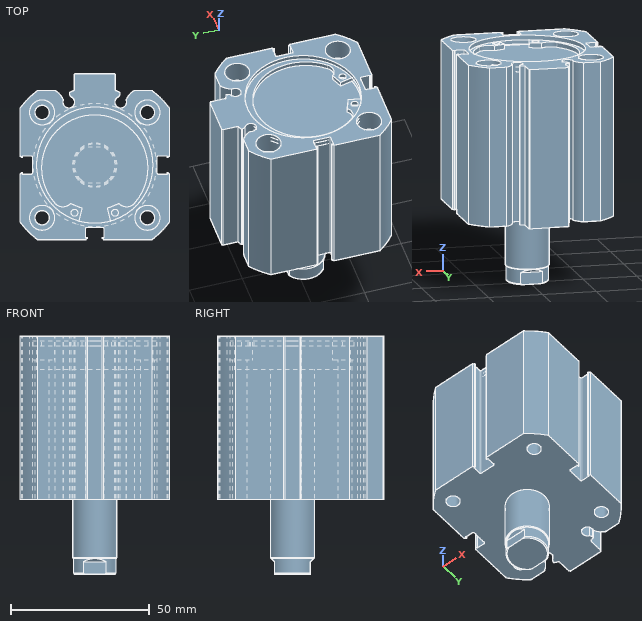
import cadquery as cq
import math


width = 54.0
half_width = width / 2
rod_extension = 27.0
housing_length = 86 - rod_extension
corner_radius = 34.0
boss_width = 15.0
boss_top = 33.0
boss_chamfer = 0.35

hole_offset = 19.0
hole_diameter = 5.1
counterbore_diameter = 9.0
counterbore_depth = 8.6

slot_width = 6.5
slot_depth = 4.5
slot_corner_radius = 0.35
mouth_width = 5.3
lip_thickness = 0.9
lip_radius = 0.5

groove_x = 9.4
groove_y = 22.7
groove_radius = 2.1
wing_tip = (9.2, 26.2)
wing_underside = (9.2, 25.7)
wing_mid = (8.7, 24.7)
wing_root = (7.8, 23.9)
flank_bottom = (11.2, 23.3)
flank_mid = (12.5, 25.45)
flank_top_x = 14.3

bore_radius = 21.0
ring_recess = 1.7
ring_thickness = 1.8
ring_radius = 22.3
cover_thickness = 8.6

ring_inner_radius = 19.2
ring_inner_y = -1.0
opening_end_x = 14.45
lug_neck = (11.95, -15.05)
lug_tip = (8.8, -13.85)
lug_corner = (4.6, -15.6)
lug_end = (6.3, -22.6)
lug_hole_x = 7.3
lug_hole_y = -17.2
lug_hole_diameter = 2.5

rod_diameter = 16.0
tip_diameter = 15.4
tip_length = 6.0
tip_chamfer = 0.4
flats_width = 13.0

rod_radius = rod_diameter / 2
tip_radius = tip_diameter / 2
ring_top = housing_length - ring_recess
cover_top = ring_top - ring_thickness
cover_bottom = cover_top - cover_thickness


def disk(radius, bottom, top):
    """Cylinder on the bore axis."""
    return cq.Workplane("XY").workplane(offset=bottom).circle(radius).extrude(top - bottom)


def mirror_x(point):
    return (-point[0], point[1])


def make_block():
    """Square block with rounded-off corners and the boss on its +Y side."""
    block = cq.Workplane("XY").rect(width, width).extrude(housing_length)
    block = block.intersect(disk(corner_radius, 0, housing_length))
    boss = (
        cq.Workplane("XY")
        .center(0, boss_top / 2)
        .rect(boss_width, boss_top)
        .extrude(housing_length)
        .edges("|Z and >Y")
        .chamfer(boss_chamfer)
    )
    return block.union(boss)


def make_slot():
    """Space of the T-slot on the -Y side, with rounded lips at its mouth."""
    channel_depth = slot_depth - lip_thickness
    channel = (
        cq.Workplane("XY")
        .center(0, -half_width + lip_thickness + channel_depth / 2)
        .rect(slot_width, channel_depth)
        .extrude(housing_length)
        .edges("|Z and >Y")
        .fillet(slot_corner_radius)
    )
    half_mouth = mouth_width / 2
    flared_half = half_mouth + lip_radius
    lip_round_end = -half_width + lip_radius
    mouth_top = -half_width + lip_thickness
    mouth = (
        cq.Workplane("XY")
        .moveTo(-flared_half, -half_width)
        .radiusArc((-half_mouth, lip_round_end), lip_radius)
        .lineTo(-half_mouth, mouth_top)
        .lineTo(half_mouth, mouth_top)
        .lineTo(half_mouth, lip_round_end)
        .radiusArc((flared_half, -half_width), lip_radius)
        .close()
        .extrude(housing_length)
    )
    return channel.union(mouth)


def make_sensor_groove():
    """Space of the sensor groove on the +X side of the boss."""
    entry = (
        cq.Workplane("XY")
        .moveTo(boss_width / 2, half_width)
        .lineTo(*wing_tip)
        .lineTo(*wing_underside)
        .threePointArc(wing_mid, wing_root)
        .lineTo(*flank_bottom)
        .threePointArc(flank_mid, (flank_top_x, half_width))
        .close()
        .extrude(housing_length)
    )
    channel = cq.Workplane("XY").center(groove_x, groove_y).circle(groove_radius).extrude(housing_length)
    return entry.union(channel)


def make_housing():
    housing = make_block()

    slot = make_slot()
    for angle in (-90, 0, 90):
        housing = housing.cut(slot.rotate((0, 0, 0), (0, 0, 1), angle))

    groove = make_sensor_groove()
    housing = housing.cut(groove).cut(groove.mirror("YZ"))

    housing = (
        housing.faces(">Z")
        .workplane(origin=(0, 0, housing_length))
        .rect(2 * hole_offset, 2 * hole_offset, forConstruction=True)
        .vertices()
        .cboreHole(hole_diameter, counterbore_diameter, counterbore_depth)
    )

    cover_bore = disk(bore_radius, cover_bottom, housing_length)
    ring_groove = disk(ring_radius, cover_top, ring_top)
    rod_bore = disk(rod_radius, 0, cover_bottom)
    return housing.cut(cover_bore).cut(ring_groove).cut(rod_bore)


def make_cover():
    return disk(bore_radius, cover_bottom, cover_top)


def make_retaining_ring():
    """Internal retaining ring: a disk with an off-centre opening and two lugs with plier holes."""
    opening_end_y = ring_inner_y - math.sqrt(ring_inner_radius**2 - opening_end_x**2)
    opening_end = (opening_end_x, opening_end_y)
    opening = (
        cq.Workplane("XY")
        .workplane(offset=cover_top)
        .moveTo(*lug_end)
        .lineTo(*lug_corner)
        .lineTo(*lug_tip)
        .threePointArc(lug_neck, opening_end)
        .threePointArc((0, ring_inner_y + ring_inner_radius), mirror_x(opening_end))
        .threePointArc(mirror_x(lug_neck), mirror_x(lug_tip))
        .lineTo(*mirror_x(lug_corner))
        .lineTo(*mirror_x(lug_end))
        .close()
        .extrude(ring_thickness)
    )
    plier_holes = (
        cq.Workplane("XY")
        .workplane(offset=cover_top)
        .pushPoints([(-lug_hole_x, lug_hole_y), (lug_hole_x, lug_hole_y)])
        .circle(lug_hole_diameter / 2)
        .extrude(ring_thickness)
    )
    return disk(ring_radius, cover_top, ring_top).cut(opening).cut(plier_holes)


def make_rod():
    """Piston rod with a slightly thinner tip that has two wrench flats."""
    tip_end = -rod_extension
    step = tip_end + tip_length
    step_chamfer = rod_radius - tip_radius
    profile = [
        (0, tip_end),
        (tip_radius - tip_chamfer, tip_end),
        (tip_radius, tip_end + tip_chamfer),
        (tip_radius, step - step_chamfer),
        (rod_radius, step),
        (rod_radius, cover_bottom),
        (0, cover_bottom),
    ]
    rod = cq.Workplane("XZ").polyline(profile).close().revolve(360, (0, 0, 0), (0, 1, 0))

    flat_y = flats_width / 2
    flat_top = step - (rod_radius - flat_y)
    flat_section = [
        (flat_y, tip_end),
        (flat_y, flat_top),
        (rod_radius, step),
        (rod_radius, tip_end),
    ]
    flat = cq.Workplane("YZ").polyline(flat_section).close().extrude(rod_radius, both=True)
    return rod.cut(flat).cut(flat.mirror("XZ"))


housing = make_housing()
cover = make_cover()
retaining_ring = make_retaining_ring()
rod = make_rod()

result = cq.Compound.makeCompound([housing.val(), cover.val(), retaining_ring.val(), rod.val()])